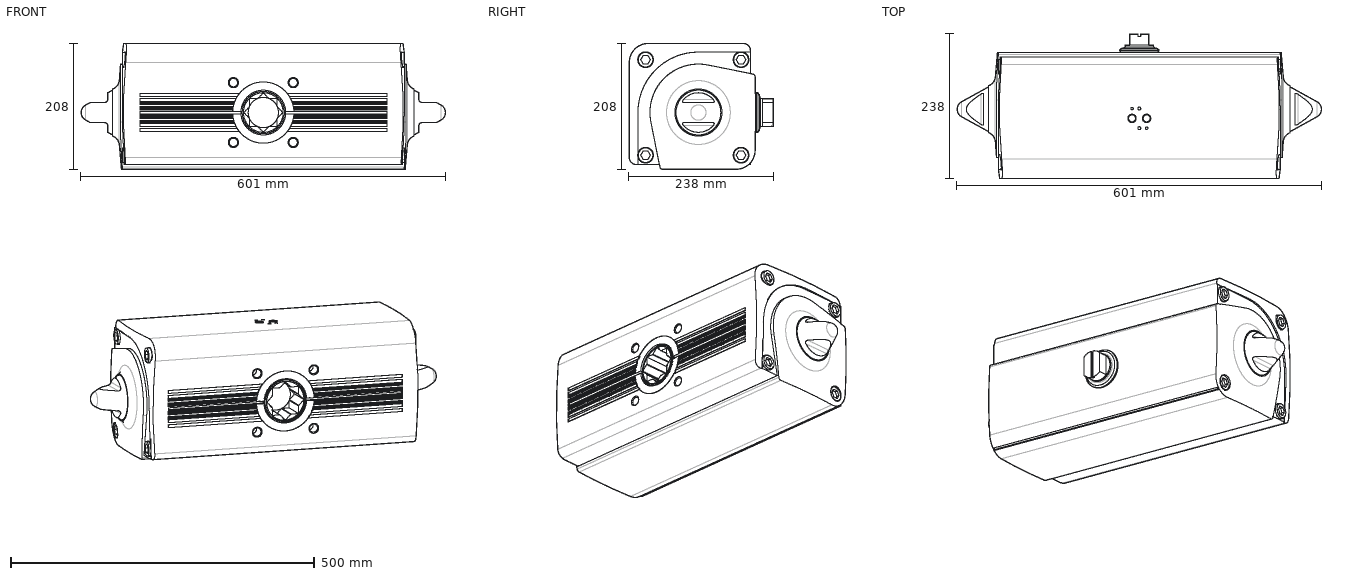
import cadquery as cq
import math


overall_length = 601.0
half_length = overall_length / 2
tube_half_length = 204.0

wide_side = 114.0
narrow_side = 86.0
ledge_side = 94.0
large_corner = 32.0
small_corner = 12.0
ledge_corner = 5.0

dome_radius = 901.5
cap_crown = 238.0
cover_crown = 239.0
pad_face = 229.5
pad_radius = 100.0
cover_radius = 80.0
cover_tangent_angle = math.radians(11.3)

bolt_near = 70.5
bolt_far = 87.0
bolt_head_diameter = 24.0
bolt_recess_diameter = 26.0
bolt_recess_floor = 227.0
bolt_head_top = 232.5
bolt_hex_flats = 14.0
bolt_hex_depth = 5.0

flare_radius = 54.5
flare_fillet = 17.0
flare_top = 249.0
cone_base_radius = 74.0 / 2
cone_tip_radius = 12.5
cone_half_angle = math.radians(28.0)
boss_flat = 17.0
boss_flat_start = 256.5
boss_flat_fillet = 5.0

land_radius = 50.5
land_depth = 0.5
land_face = wide_side - land_depth
bore_diameter = 74.0
shaft_rim_diameter = 70.0
shaft_diameter = 65.5
bore_gap_depth = 3.5
shaft_rim_depth = 2.0
star_square = 45.5
socket_diameter = 50.0
socket_depth = 48.0
drill_half_angle = math.radians(59.0)
stem_top = 124.0
stem_diameter = 46.0
stem_flats = 32.0
stem_slot_width = 4.0
stem_slot_depth = 3.5
collar_profile = [
    (31.0, ledge_side), (31.0, 96.0), (65.5 / 2, 96.0), (65.5 / 2, 98.0),
    (29.5, 100.5), (25.0, 101.5), (23.5, 103.0), (23.5, 106.0),
]

round_groove_heights = [20.5, 29.0]
round_groove_radius = 2.5
slit_heights = [5.0, 6.5, 9.0, 14.0, 16.0]
slit_width = 1.0
slit_depth = 3.0
middle_groove_depth = 6.0
middle_groove_width = 4.0

mount_offset = 49.0
mount_diameter = 14.0
mount_rim = 17.0
mount_depth = 24.0
port_x = 12.0
port_y = -15.0
port_diameter = 11.5
port_rim = 14.0
port_depth = 18.0
pin_spread = 16.0
pin_diameters = {0.0: 4.9, port_x: 4.15}
pin_depth = 6.0


along_x = cq.Vector(1, 0, 0)
along_y = cq.Vector(0, 1, 0)
before_front = cq.Vector(0, -half_length, 0)


def cylinder(origin, direction, diameter, height):
    return cq.Workplane(cq.Solid.makeCylinder(diameter / 2, height, origin, direction))


def drilled_hole(origin, direction, diameter, depth, rim=None):
    """Cutter for a hole with a conical bottom; `rim` is the diameter of its chamfer at the surface."""
    point = diameter / 2 / math.tan(drill_half_angle)
    hole = cylinder(origin, direction, diameter, depth)
    hole = hole.union(cq.Workplane(
        cq.Solid.makeCone(diameter / 2, 0, point, origin + direction * depth, direction)
    ))
    if rim:
        chamfer = (rim - diameter) / 2
        hole = hole.union(cq.Workplane(
            cq.Solid.makeCone(rim / 2, diameter / 2, chamfer, origin, direction)
        ))
    return hole


def dome(crown):
    return cq.Workplane("XY").sphere(dome_radius).translate((crown - dome_radius, 0, 0))


def square_section(length):
    """The rounded square of tube and cap, from x = 0 to `length`."""
    middle = (narrow_side - wide_side) / 2
    side = narrow_side + wide_side
    block = cq.Workplane("YZ").center(middle, -middle).rect(side, side).extrude(length)
    block = block.edges("|X and <Y and >Z").fillet(large_corner)
    block = block.edges("|X and >Y and >Z").fillet(small_corner)
    return block.edges("|X and <Y and <Z").fillet(small_corner)


def cover_section(length):
    """Raised cover: an arc about the axis with a tangent line to each ledge face."""
    tangent_y = cover_radius * math.sin(cover_tangent_angle)
    tangent_z = cover_radius * math.cos(cover_tangent_angle)
    ledge_end = tangent_z - (ledge_side - tangent_y) * math.tan(cover_tangent_angle)
    arc_middle = cover_radius * math.sqrt(0.5)
    block = (
        cq.Workplane("YZ")
        .moveTo(ledge_side, ledge_end)
        .lineTo(tangent_y, tangent_z)
        .threePointArc((-arc_middle, arc_middle), (-tangent_z, -tangent_y))
        .lineTo(-ledge_end, -ledge_side)
        .lineTo(ledge_side, -ledge_side)
        .close()
        .extrude(length)
    )
    block = block.edges("|X and >Y and <Z").fillet(large_corner)
    block = block.edges("|X and >Y").edges(">Z").fillet(ledge_corner)
    return block.edges("|X and <Z").edges("<Y").fillet(ledge_corner)


def pad_section(length):
    """Bolt pad: a quarter circle about the axis with tangent sides."""
    arc_middle = pad_radius * math.sqrt(0.5)
    return (
        cq.Workplane("YZ")
        .moveTo(wide_side, pad_radius)
        .lineTo(0, pad_radius)
        .threePointArc((-arc_middle, arc_middle), (-pad_radius, 0))
        .lineTo(-pad_radius, -wide_side)
        .lineTo(wide_side, -wide_side)
        .close()
        .extrude(length)
    )


def boss():
    tip_sphere = cone_tip_radius / math.cos(cone_half_angle)
    tip_centre = half_length - tip_sphere
    cone_end = tip_centre + tip_sphere * math.sin(cone_half_angle)
    half_turn = (math.pi / 2 + cone_half_angle) / 2
    arc_middle = (
        tip_centre + tip_sphere * math.sin(half_turn),
        tip_sphere * math.cos(half_turn),
    )
    cone = (
        cq.Workplane("XY")
        .moveTo(tube_half_length, 0)
        .lineTo(tube_half_length, cone_base_radius)
        .lineTo(flare_top, cone_base_radius)
        .lineTo(cone_end, cone_tip_radius)
        .threePointArc(arc_middle, (half_length, 0))
        .close()
        .revolve(360, (0, 0), (1, 0))
    )
    for side in (1, -1):
        flat_cut = (
            cq.Workplane("XY")
            .box(half_length, ledge_side, ledge_side, centered=(False, True, False))
            .edges("<X and <Z")
            .fillet(boss_flat_fillet)
            .translate((boss_flat_start, 0, boss_flat))
        )
        if side < 0:
            flat_cut = flat_cut.mirror("XY")
        cone = cone.cut(flat_cut)

    flare_foot = cover_crown - dome_radius + math.sqrt(dome_radius**2 - flare_radius**2)
    flare_centre = flare_foot + flare_fillet
    flare_end = flare_radius - math.sqrt(flare_fillet**2 - (flare_centre - flare_top)**2)
    turn = math.acos((flare_centre - flare_top) / flare_fillet) / 2
    flare_middle = (
        flare_centre - flare_fillet * math.cos(turn),
        flare_radius - flare_fillet * math.sin(turn),
    )
    flare = (
        cq.Workplane("XY")
        .moveTo(tube_half_length, 0)
        .lineTo(tube_half_length, flare_radius)
        .lineTo(flare_foot, flare_radius)
        .threePointArc(flare_middle, (flare_top, flare_end))
        .lineTo(flare_top, 0)
        .close()
        .revolve(360, (0, 0), (1, 0))
    )
    return flare.union(cone)


def add_bolts(end):
    for y in (bolt_near, -bolt_far):
        for z in (-bolt_near, bolt_far):
            floor = cq.Vector(bolt_recess_floor, y, z)
            end = end.cut(cylinder(floor, along_x, bolt_recess_diameter, half_length))
            socket = (
                cq.Workplane("YZ", origin=(bolt_head_top - bolt_hex_depth, y, z))
                .polygon(6, bolt_hex_flats / math.cos(math.pi / 6))
                .extrude(bolt_hex_depth)
            )
            head_bottom = cq.Vector(tube_half_length, y, z)
            head = cylinder(head_bottom, along_x, bolt_head_diameter, bolt_head_top - tube_half_length)
            end = end.union(head).cut(socket)
    return end


def half_housing():
    section = square_section(half_length)
    pad = pad_section(half_length)
    above_pad = pad.translate((pad_face, 0, 0))
    cap = section.intersect(dome(cap_crown)).cut(above_pad)
    bolt_pad = section.intersect(pad_section(pad_face))
    cover = cover_section(half_length).intersect(dome(cover_crown))
    end = cap.union(bolt_pad).union(cover)
    return add_bolts(end).union(boss())


def drive_socket():
    """Cutter for the stepped gap around the shaft and its eight-point star socket."""
    face = cq.Vector(0, -land_face, 0)
    gap = cylinder(face, along_y, bore_diameter, bore_gap_depth)
    gap = gap.cut(cylinder(face, along_y, shaft_rim_diameter, bore_gap_depth))
    rim = cylinder(face, along_y, shaft_rim_diameter, shaft_rim_depth)
    gap = gap.union(rim.cut(cylinder(face, along_y, shaft_diameter, shaft_rim_depth)))
    cutter = gap.union(drilled_hole(face, along_y, socket_diameter, socket_depth))
    for angle in (0, 45):
        square = (
            cq.Workplane("XY")
            .box(star_square, socket_depth, star_square, centered=(True, False, True))
            .rotate((0, 0, 0), (0, 1, 0), angle)
            .translate((0, -land_face, 0))
        )
        cutter = cutter.union(square)
    return cutter


def stem():
    collar = (
        cq.Workplane("XY")
        .polyline([(0, 0), (collar_profile[0][0], 0)] + collar_profile + [(0, collar_profile[-1][1])])
        .close()
        .revolve(360, (0, 0), (0, 1))
    )
    flats = cq.Workplane("XY").box(stem_flats, stem_top, stem_diameter, centered=(True, False, True))
    shank = cylinder(cq.Vector(0, 0, 0), along_y, stem_diameter, stem_top).intersect(flats)
    slot = cq.Workplane("XY").box(stem_slot_width, 2 * stem_slot_depth, stem_diameter)
    return collar.union(shank.cut(slot.translate((0, stem_top, 0))))


def socket_land():
    """Cutter for the shallow round land about the socket."""
    return cylinder(before_front, along_y, 2 * land_radius, half_length - land_face)


def front_grooves():
    """Cutter for the grooves: the outer ones stop at the land, the middle one at the bore."""
    tube_length = 2 * tube_half_length
    start = cq.Vector(-tube_half_length, -wide_side, 0)
    groove = cylinder(start, along_x, 2 * round_groove_radius, tube_length)
    slit = cq.Workplane("XY").box(tube_length, 2 * slit_depth, slit_width).translate((0, -wide_side, 0))
    cutters = cq.Workplane("XY")
    for side in (1, -1):
        for height in round_groove_heights:
            cutters = cutters.add(groove.translate((0, 0, side * height)))
        for height in slit_heights:
            cutters = cutters.add(slit.translate((0, 0, side * height)))
    cutters = cutters.combine().cut(cylinder(before_front, along_y, 2 * land_radius, half_length))

    middle_groove = (
        cq.Workplane("XY")
        .box(tube_length, 2 * middle_groove_depth, middle_groove_width)
        .translate((0, -wide_side, 0))
    )
    bore = cylinder(before_front, along_y, bore_diameter, half_length)
    return cutters.union(middle_groove.cut(bore))


def cut_holes(body):
    for x in (-mount_offset, mount_offset):
        for z in (-mount_offset, mount_offset):
            place = cq.Vector(x, -wide_side, z)
            body = body.cut(drilled_hole(place, along_y, mount_diameter, mount_depth, mount_rim))
    down = cq.Vector(0, 0, -1)
    for side in (1, -1):
        place = cq.Vector(side * port_x, port_y, wide_side)
        body = body.cut(drilled_hole(place, down, port_diameter, port_depth, port_rim))
        for x, diameter in pin_diameters.items():
            place = cq.Vector(side * x, port_y - side * pin_spread, wide_side)
            body = body.cut(drilled_hole(place, down, diameter, pin_depth))
    return body


half = half_housing()
body = half.union(half.mirror("YZ"))
body = body.union(stem()).cut(socket_land()).cut(drive_socket()).cut(front_grooves())
result = cut_holes(body)